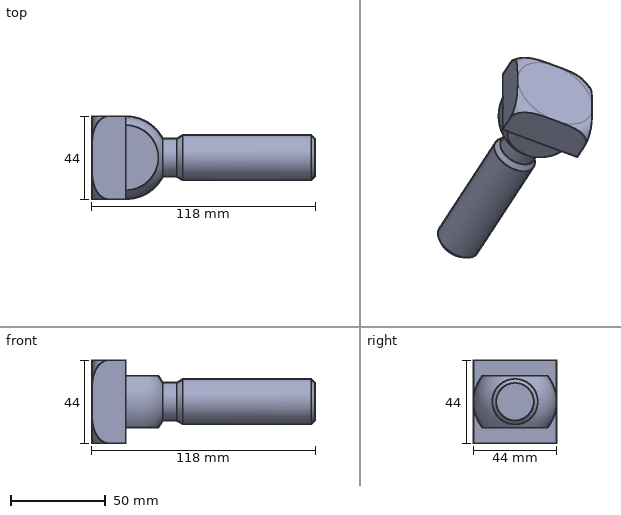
import cadquery as cq
import math

total_length = 118.0
head_side = 44.0
head_thickness = 17.9
collar_radius = head_side / 2
collar_height = 27.5
neck_radius = 10.1
neck_end = 45.0
shank_radius = 12.0
shank_start = 48.1
end_chamfer = 2.1

face_radius = head_side / 2
corner_radius = face_radius * math.sqrt(2)
corner_round = corner_radius - face_radius


def make_head():
    """Square plate whose corners are rounded by a revolved quarter circle."""
    plate = cq.Workplane("YZ").rect(head_side, head_side).extrude(head_thickness)
    arc_offset = corner_round * math.sqrt(0.5)
    arc_middle = (corner_round - arc_offset, face_radius + arc_offset)
    envelope = (
        cq.Workplane("XY")
        .lineTo(0, face_radius)
        .threePointArc(arc_middle, (corner_round, corner_radius))
        .lineTo(head_thickness, corner_radius)
        .lineTo(head_thickness, 0)
        .close()
        .revolve(360, (0, 0, 0), (1, 0, 0))
    )
    return plate.intersect(envelope)


def make_collar():
    """Half ball behind the head, flattened in Z, with its tip inside the neck."""
    slab = cq.Workplane("XY").box(
        collar_radius, 2 * collar_radius, collar_height, centered=(False, True, True)
    )
    ball = cq.Workplane("XY").sphere(collar_radius)
    return ball.intersect(slab).translate((head_thickness, 0, 0))


def make_shank():
    """Narrow neck, cone and shank with a chamfered end."""
    return (
        cq.Workplane("XY")
        .moveTo(head_thickness, 0)
        .lineTo(head_thickness, neck_radius)
        .lineTo(neck_end, neck_radius)
        .lineTo(shank_start, shank_radius)
        .lineTo(total_length - end_chamfer, shank_radius)
        .lineTo(total_length, shank_radius - end_chamfer)
        .lineTo(total_length, 0)
        .close()
        .revolve(360, (0, 0, 0), (1, 0, 0))
    )


result = make_head().union(make_collar()).union(make_shank())